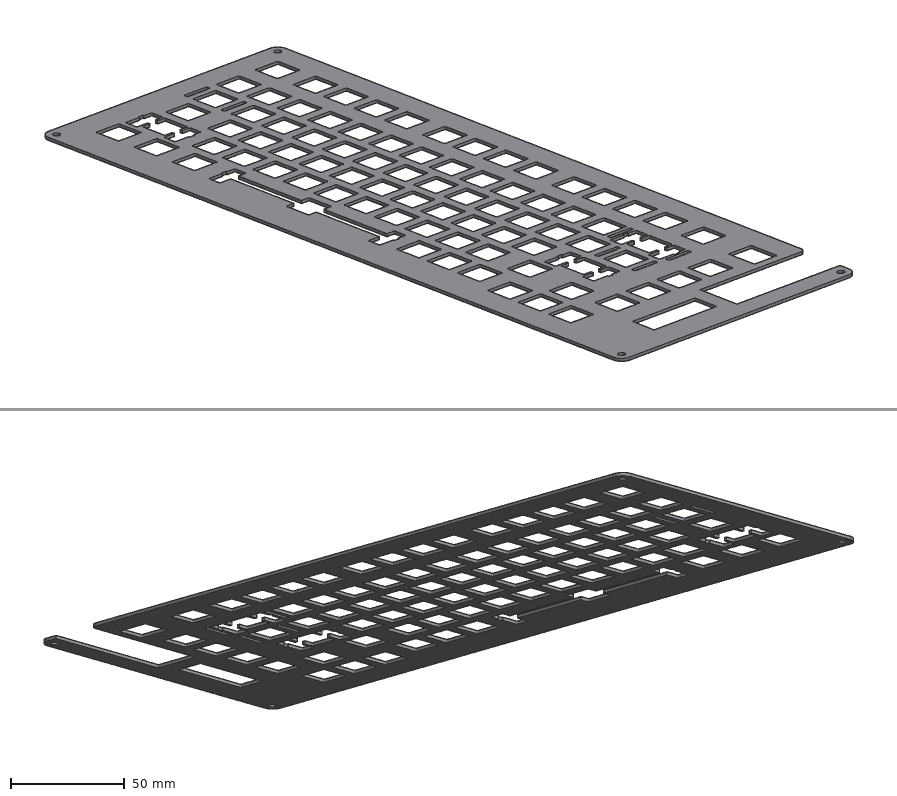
import cadquery as cq

PLATE_LENGTH = 363.89
PLATE_WIDTH = 146.05
PLATE_THICKNESS = 1.5
OUTER_CORNER_RADIUS = 5.0

NOTCH_LEFT = 330.3
NOTCH_RIGHT = 353.3
NOTCH_FLOOR = 81.4
NOTCH_CORNER_RADIUS = 2.5
ARM_TOP_DROP = 1.2

WINDOW_LEFT = 335.5
WINDOW_RIGHT = 349.0
WINDOW_FRONT = 34.7
WINDOW_BACK = 73.1
WINDOW_CORNER_RADIUS = 0.5

HOLE_DIAMETER = 3.4
HOLE_INSET = 5.0

KEY_UNIT = 19.05
SWITCH_SIZE = 14.0
CUTOUT_CORNER_RADIUS = 0.5
KEY_FIELD_LEFT = 10.615
BOTTOM_ROW_Y = 26.035
FUNCTION_ROW_GAP = 0.25 * KEY_UNIT
ARROW_DROP = 0.25 * KEY_UNIT
NAVIGATION_COLUMN = 16.0

WIDE_CUTOUT_LENGTH = 16.25
WIDE_CUTOUT_X = 317.8

STABILIZER_WIDTH = 7.0
STABILIZER_TOP = 7.0
STABILIZER_BOTTOM = -9.0
STABILIZER_REACH = 11.94
SPACE_BAR_REACH = 50.0
CHANNEL_WIDTH = 4.7
WIRE_NOTCH_REACH = 4.2
WIRE_NOTCH_TOP = 2.3
WIRE_NOTCH_BOTTOM = -0.5

SIDE_SLOT_WIDTH = 2.0
TAB_SLOT_REACH = 11.6
BACKSPACE_SLOT_REACH = 18.2


def key_x(units):
    return KEY_FIELD_LEFT + units * KEY_UNIT


def row_y(row):
    """Centre of a key row, with row 0 at the front."""
    return BOTTOM_ROW_Y + row * KEY_UNIT


def key_run(first, count):
    """Centres, in key units, of a run of neighbouring single-unit keys."""
    return [first + i for i in range(count)]


NUMBER_Y = row_y(4)
TAB_Y = row_y(3)
CAPS_Y = row_y(2)
SHIFT_Y = row_y(1)
SPACE_Y = row_y(0)
FUNCTION_Y = row_y(5) + FUNCTION_ROW_GAP

BACKSPACE = 14.0
TAB = 0.75
BACKSLASH = 14.25
ENTER = 13.875
LEFT_SHIFT = 1.125
SPACE_BAR = 6.875
DOWN_ARROW = 14.75

ROWS = [
    (FUNCTION_Y, [0.5] + key_run(1.75, 4) + key_run(6.0, 4) + key_run(10.25, 4) + [14.5]),
    (NUMBER_Y, key_run(0.5, 13) + [NAVIGATION_COLUMN]),
    (TAB_Y, [TAB] + key_run(2.0, 12) + [BACKSLASH, NAVIGATION_COLUMN]),
    (CAPS_Y, [0.875] + key_run(2.25, 11) + [NAVIGATION_COLUMN]),
    (SHIFT_Y, key_run(2.75, 10) + [13.125, NAVIGATION_COLUMN]),
    (SHIFT_Y - ARROW_DROP, [DOWN_ARROW]),
    (SPACE_Y, [0.625, 1.875, 3.125] + key_run(10.5, 3)),
    (SPACE_Y - ARROW_DROP, key_run(DOWN_ARROW - 1, 3)),
]

STABILIZED_KEYS = [
    (BACKSPACE, NUMBER_Y, STABILIZER_REACH),
    (ENTER, CAPS_Y, STABILIZER_REACH),
    (LEFT_SHIFT, SHIFT_Y, STABILIZER_REACH),
    (SPACE_BAR, SPACE_Y, SPACE_BAR_REACH),
]

SLOTTED_KEYS = [
    (BACKSPACE, NUMBER_Y, BACKSPACE_SLOT_REACH),
    (TAB, TAB_Y, TAB_SLOT_REACH),
    (BACKSLASH, TAB_Y, TAB_SLOT_REACH),
]


def cutter(points, length, width):
    """Rectangular cutting blocks through the plate, one centred at each point."""
    return cq.Workplane("XY").pushPoints(points).rect(length, width).extrude(PLATE_THICKNESS)


def rounded_cutter(points, length, width):
    """Cutting blocks with the common small radius at their vertical edges."""
    return cutter(points, length, width).edges("|Z").fillet(CUTOUT_CORNER_RADIUS)


def block(left, right, bottom, top):
    """Square-cornered block of plate thickness between the given sides."""
    center = ((left + right) / 2, (bottom + top) / 2)
    return cutter([center], right - left, top - bottom)


def plate_blank():
    plate = block(0, PLATE_LENGTH, 0, PLATE_WIDTH)
    plate = plate.cut(block(NOTCH_LEFT, NOTCH_RIGHT, NOTCH_FLOOR, PLATE_WIDTH))
    plate = plate.cut(block(NOTCH_RIGHT, PLATE_LENGTH, PLATE_WIDTH - ARM_TOP_DROP, PLATE_WIDTH))
    plate = plate.edges("|Z and (<X or >X)").fillet(OUTER_CORNER_RADIUS)
    notch_corner = cq.selectors.NearestToPointSelector((NOTCH_LEFT, PLATE_WIDTH, PLATE_THICKNESS / 2))
    return plate.edges(notch_corner).fillet(NOTCH_CORNER_RADIUS)


def mounting_holes():
    right_x = PLATE_LENGTH - HOLE_INSET
    back_y = PLATE_WIDTH - HOLE_INSET
    centers = [
        (HOLE_INSET, HOLE_INSET),
        (HOLE_INSET, back_y),
        (right_x, HOLE_INSET),
        (right_x, back_y - ARM_TOP_DROP),
    ]
    return cq.Workplane("XY").pushPoints(centers).circle(HOLE_DIAMETER / 2).extrude(PLATE_THICKNESS)


def switch_cutouts():
    centers = [(key_x(units), y) for y, row in ROWS for units in row]
    return rounded_cutter(centers, SWITCH_SIZE, SWITCH_SIZE)


def stabilizer_cutout(x, y, reach):
    """Switch opening and wire channel, with a stabilizer pocket and wire notch at each end."""
    cutout = rounded_cutter([(x, y)], SWITCH_SIZE, SWITCH_SIZE)
    cutout = cutout.union(cutter([(x, y)], 2 * reach, CHANNEL_WIDTH))
    for side in (-1, 1):
        center = x + side * reach
        pocket_y = y + (STABILIZER_TOP + STABILIZER_BOTTOM) / 2
        pocket = rounded_cutter([(center, pocket_y)], STABILIZER_WIDTH, STABILIZER_TOP - STABILIZER_BOTTOM)
        tip = center + side * WIRE_NOTCH_REACH
        notch = block(min(center, tip), max(center, tip), y + WIRE_NOTCH_BOTTOM, y + WIRE_NOTCH_TOP)
        cutout = cutout.union(pocket).union(notch)
    return cutout


def side_slots(x, y, reach):
    return rounded_cutter([(x - reach, y), (x + reach, y)], SIDE_SLOT_WIDTH, SWITCH_SIZE)


def wide_cutout():
    return rounded_cutter([(WIDE_CUTOUT_X, FUNCTION_Y)], WIDE_CUTOUT_LENGTH, SWITCH_SIZE)


def window():
    return block(WINDOW_LEFT, WINDOW_RIGHT, WINDOW_FRONT, WINDOW_BACK).edges("|Z").fillet(WINDOW_CORNER_RADIUS)


result = plate_blank().cut(mounting_holes()).cut(switch_cutouts()).cut(wide_cutout()).cut(window())
for units, y, reach in STABILIZED_KEYS:
    result = result.cut(stabilizer_cutout(key_x(units), y, reach))
for units, y, reach in SLOTTED_KEYS:
    result = result.cut(side_slots(key_x(units), y, reach))